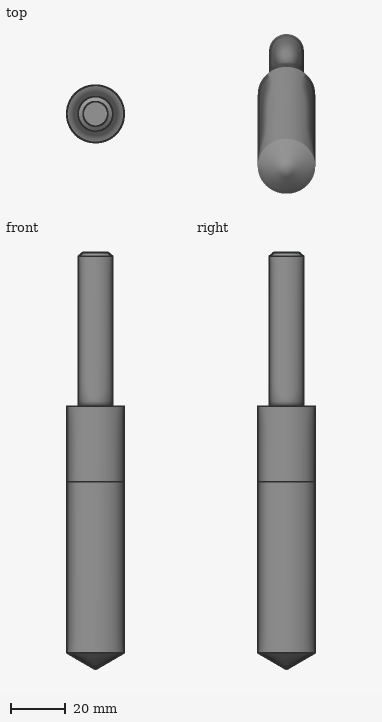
import cadquery as cq

total_length = 152.4
body_diameter = 21.0
shank_diameter = 12.6

tip_height = 6.1
joint_height = 68.6
shoulder_height = 96.2

bevel_width = 1.8
bevel_height = 1.5

body_radius = body_diameter / 2
shank_radius = shank_diameter / 2


def make_tip_body():
    """Lower cylinder with a conical point, pointing down at the origin."""
    profile = (
        cq.Workplane("XZ")
        .moveTo(0, 0)
        .lineTo(body_radius, tip_height)
        .lineTo(body_radius, joint_height)
        .lineTo(0, joint_height)
        .close()
    )
    return profile.revolve(360, (0, 0, 0), (0, 1, 0))


def make_shank():
    """Upper collar and the slimmer bevelled shank that rises from it."""
    profile = (
        cq.Workplane("XZ")
        .moveTo(0, joint_height)
        .lineTo(body_radius, joint_height)
        .lineTo(body_radius, shoulder_height)
        .lineTo(shank_radius, shoulder_height)
        .lineTo(shank_radius, total_length - bevel_height)
        .lineTo(shank_radius - bevel_width, total_length)
        .lineTo(0, total_length)
        .close()
    )
    return profile.revolve(360, (0, 0, 0), (0, 1, 0))


tip_body = make_tip_body()
shank = make_shank()

result = cq.Compound.makeCompound([tip_body.val(), shank.val()])